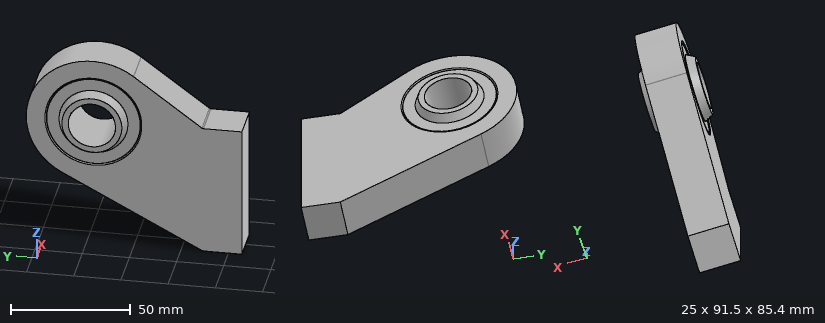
import cadquery as cq
import math

overall_length = 91.5
overall_height = 85.4
plate_thickness = 18.0
head_radius = 28.5

foot_length = 16.65
foot_height = 58.0
neck_fillet = 1.0

seat_diameter = 40.0
seat_chamfer = 0.55
race_recess = 0.3
race_edge_chamfer = 0.2
bore_diameter = 20.0
ball_width = 25.0
ball_end_diameter = 25.3
ball_race_diameter = 29.2

race_width = plate_thickness - 2 * race_recess
head_y = overall_length - head_radius
head_z = overall_height - head_radius


def tangent_point(corner_y, corner_z, side):
    """Point where a line from the corner touches the head circle.

    side is +1 for the upper flank and -1 for the lower flank.
    """
    to_corner_y = corner_y - head_y
    to_corner_z = corner_z - head_z
    distance = math.hypot(to_corner_y, to_corner_z)
    corner_angle = math.atan2(to_corner_z, to_corner_y)
    angle = corner_angle - side * math.acos(head_radius / distance)
    return (
        head_y + head_radius * math.cos(angle),
        head_z + head_radius * math.sin(angle),
    )


def make_plate():
    """Rod-end body: foot, two tangent flanks and a round head."""
    upper_tangent = tangent_point(foot_length, foot_height, 1)
    lower_tangent = tangent_point(foot_length, 0, -1)
    plate = (
        cq.Workplane("YZ")
        .moveTo(0, 0)
        .lineTo(foot_length, 0)
        .lineTo(*lower_tangent)
        .threePointArc((overall_length, head_z), upper_tangent)
        .lineTo(foot_length, foot_height)
        .lineTo(0, foot_height)
        .close()
        .extrude(plate_thickness / 2, both=True)
    )
    neck = cq.selectors.NearestToPointSelector((0, foot_length, foot_height))
    return plate.edges(neck).fillet(neck_fillet)


def bearing_disc(diameter, width):
    """Disc on the bore axis, centred on the plate."""
    return (
        cq.Workplane("YZ")
        .center(head_y, head_z)
        .circle(diameter / 2)
        .extrude(width / 2, both=True)
    )


def make_seat():
    """Cutter for the bearing seat, flared at both plate faces."""
    mouth_diameter = seat_diameter + 2 * seat_chamfer
    half_thickness = plate_thickness / 2
    chamfer_start = half_thickness - seat_chamfer
    return (
        cq.Workplane("XY")
        .polyline([
            (-half_thickness, 0),
            (-half_thickness, mouth_diameter / 2),
            (-chamfer_start, seat_diameter / 2),
            (chamfer_start, seat_diameter / 2),
            (half_thickness, mouth_diameter / 2),
            (half_thickness, 0),
        ])
        .close()
        .revolve(360, (0, 0), (1, 0))
        .translate((0, head_y, head_z))
    )


def make_ball():
    """Inner ring with a tapered collar on each side of the race."""
    return (
        cq.Workplane("XY")
        .polyline([
            (-ball_width / 2, 0),
            (-ball_width / 2, ball_end_diameter / 2),
            (-race_width / 2, ball_race_diameter / 2),
            (race_width / 2, ball_race_diameter / 2),
            (ball_width / 2, ball_end_diameter / 2),
            (ball_width / 2, 0),
        ])
        .close()
        .revolve(360, (0, 0), (1, 0))
        .translate((0, head_y, head_z))
    )


race = bearing_disc(seat_diameter, race_width).edges("%CIRCLE").chamfer(race_edge_chamfer)
bore = bearing_disc(bore_diameter, ball_width)

result = make_plate().cut(make_seat()).union(race).union(make_ball()).cut(bore)